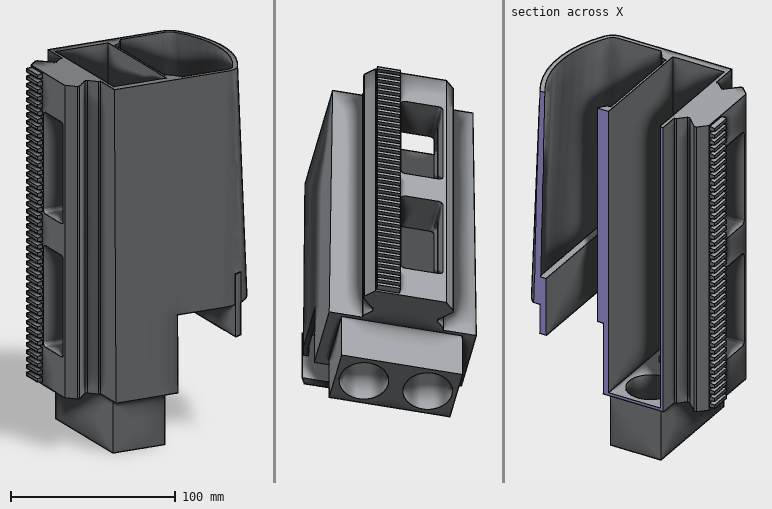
import cadquery as cq
import math

TOTAL_HEIGHT = 235.0
BODY_HEIGHT = 200.2
PLUG_LENGTH = TOTAL_HEIGHT - BODY_HEIGHT
SHROUD_BOTTOM = 49.8

BASE_HALF_WIDTH = 45.8
TOP_HALF_WIDTH = 43.7
BASE_APEX = 108.3
TOP_APEX = 97.7
BASE_CROWN_RADIUS = 58.7
TOP_CROWN_RADIUS = 75.2
CORNER_ARC_ANGLE = math.radians(59)
SHELL_WALL = 3.0

PARTITION_BACK = 40.2
STEP_BACK = 42.5
GUSSET_FOOT_X = 32.7
GUSSET_KNEE = (33.8, 43.5)
GUSSET_TOP = (40.6, 48.2)

FRONT_WALL = 2.3
POCKET_HALF_WIDTH = 38.3
POCKET_BACK = 38.5
POCKET_FLOOR = 2.3
PLUG_HALF_WIDTH = 37.5
PLUG_FRONT = 2.0
PLUG_BACK = 37.8
BORE_DIAMETER = 30.0
BORE_SPACING = 39.7

BAR_FRONT_HALF_WIDTH = 44.6
BAR_BACK_HALF_WIDTH = 42.3
BAR_FRONT = 82.7
BAR_BACK = 87.5
BAR_BOTTOM = 29.4
BAR_TOP = 69.5

RAIL_DEPTH = 22.8
RAIL_HALF_SECTION = [
    (25.1, 0.0),
    (25.1, -1.5),
    (20.2, -6.3),
    (20.2, -8.0),
    (27.7, -15.5),
    (27.7, -17.2),
    (22.0, -RAIL_DEPTH),
]

WINDOW_LEFT = -6.0
WINDOW_RIGHT = 20.0
WINDOW_HEIGHT = 65.0
WINDOW_SPACING = 85.3
WINDOW_CORNER_RADIUS = 2.8

TOOTH_COUNT = 42
TOOTH_DEPTH = 3.5
TOOTH_ROOT_HEIGHT = 3.0
TOOTH_TIP_HEIGHT = 2.0
TOOTH_LEFT = -21.4
TOOTH_LENGTH = 14.3
FIRST_TOOTH_Z = 3.0
LAST_TOOTH_Z = 197.5
TOOTH_PITCH = (LAST_TOOTH_Z - FIRST_TOOTH_Z) / (TOOTH_COUNT - 1)

OVERLAP = 0.5


def block(x_min, x_max, y_min, y_max, z_min, z_max):
    """Box given by its limits along each axis."""
    size = (x_max - x_min, y_max - y_min, z_max - z_min)
    return cq.Workplane("XY").box(*size, centered=False).translate((x_min, y_min, z_min))


def arched_section(workplane, half_width, front, apex, crown_radius):
    """Straight front and sides, closed by a crown arc with tangent corner arcs.

    The corner radius follows from the corner arcs turning through a fixed angle,
    so sections at different heights join into smooth faces.
    """
    turn_cosine = math.cos(CORNER_ARC_ANGLE)
    corner_radius = (half_width - crown_radius * turn_cosine) / (1 - turn_cosine)
    crown_center_y = apex - crown_radius
    corner_x = half_width - corner_radius
    corner_y = crown_center_y + (crown_radius - corner_radius) * math.sin(CORNER_ARC_ANGLE)

    def on_corner(angle):
        return corner_x + corner_radius * math.cos(angle), corner_y + corner_radius * math.sin(angle)

    tangent_x, tangent_y = on_corner(CORNER_ARC_ANGLE)
    middle_x, middle_y = on_corner(CORNER_ARC_ANGLE / 2)
    return (
        workplane.moveTo(-half_width, front)
        .lineTo(half_width, front)
        .lineTo(half_width, corner_y)
        .threePointArc((middle_x, middle_y), (tangent_x, tangent_y))
        .threePointArc((0, apex), (-tangent_x, tangent_y))
        .threePointArc((-middle_x, middle_y), (-half_width, corner_y))
        .close()
    )


def tapered_arch(front, inset):
    """Full-height arched solid, drawn in by the inset at the sides and back."""
    base = arched_section(
        cq.Workplane("XY"),
        BASE_HALF_WIDTH - inset,
        front,
        BASE_APEX - inset,
        BASE_CROWN_RADIUS - inset,
    )
    return arched_section(
        base.workplane(offset=BODY_HEIGHT),
        TOP_HALF_WIDTH - inset,
        front,
        TOP_APEX - inset,
        TOP_CROWN_RADIUS - inset,
    ).loft(ruled=True)


def make_gusset(side):
    """Corner rib where the partition meets one side wall (side is -1 or 1)."""
    section = [
        (GUSSET_FOOT_X, PARTITION_BACK - OVERLAP),
        (GUSSET_FOOT_X, PARTITION_BACK),
        GUSSET_KNEE,
        GUSSET_TOP,
        (TOP_HALF_WIDTH, GUSSET_TOP[1]),
        (TOP_HALF_WIDTH, PARTITION_BACK - OVERLAP),
    ]
    points = [(side * x, y) for x, y in section]
    return cq.Workplane("XY").polyline(points).close().extrude(BODY_HEIGHT)


def make_body():
    """Shell with its rear cavity, stepped away at the back below the shroud."""
    body = tapered_arch(0, 0).cut(tapered_arch(PARTITION_BACK, SHELL_WALL))
    for side in (-1, 1):
        body = body.union(make_gusset(side))
    step = block(-BASE_HALF_WIDTH, BASE_HALF_WIDTH, STEP_BACK, BASE_APEX, 0, SHROUD_BOTTOM)
    return body.cut(step)


def make_bar():
    """Flat bar across the shroud, its slanted ends following the curved shell."""
    section = [
        (-BAR_FRONT_HALF_WIDTH, BAR_FRONT),
        (BAR_FRONT_HALF_WIDTH, BAR_FRONT),
        (BAR_BACK_HALF_WIDTH, BAR_BACK),
        (-BAR_BACK_HALF_WIDTH, BAR_BACK),
    ]
    base = cq.Workplane("XY", origin=(0, 0, BAR_BOTTOM))
    return base.polyline(section).close().extrude(BAR_TOP - BAR_BOTTOM)


def make_rail():
    left_half = [(-x, y) for x, y in reversed(RAIL_HALF_SECTION)]
    return cq.Workplane("XY").polyline(RAIL_HALF_SECTION + left_half).close().extrude(BODY_HEIGHT)


def make_rack():
    """Row of trapezoidal teeth standing on the left part of the rail face."""
    root_y = -RAIL_DEPTH + OVERLAP
    tip_y = -RAIL_DEPTH - TOOTH_DEPTH
    section = [
        (root_y, -TOOTH_ROOT_HEIGHT / 2),
        (-RAIL_DEPTH, -TOOTH_ROOT_HEIGHT / 2),
        (tip_y, -TOOTH_TIP_HEIGHT / 2),
        (tip_y, TOOTH_TIP_HEIGHT / 2),
        (-RAIL_DEPTH, TOOTH_ROOT_HEIGHT / 2),
        (root_y, TOOTH_ROOT_HEIGHT / 2),
    ]
    tooth = cq.Workplane("YZ").polyline(section).close().extrude(TOOTH_LENGTH)
    rack = cq.Workplane("XY")
    for index in range(TOOTH_COUNT):
        rack.add(tooth.translate((TOOTH_LEFT, 0, FIRST_TOOTH_Z + index * TOOTH_PITCH)))
    return rack.combine()


def make_pocket():
    return block(
        -POCKET_HALF_WIDTH, POCKET_HALF_WIDTH, FRONT_WALL, POCKET_BACK, POCKET_FLOOR, BODY_HEIGHT
    )


def make_plug():
    return block(-PLUG_HALF_WIDTH, PLUG_HALF_WIDTH, PLUG_FRONT, PLUG_BACK, -PLUG_LENGTH, OVERLAP)


def make_bores():
    """Two round bores down through the pocket floor and the plug."""
    center_y = (PLUG_FRONT + PLUG_BACK) / 2
    centers = [(-BORE_SPACING / 2, center_y), (BORE_SPACING / 2, center_y)]
    return (
        cq.Workplane("XY", origin=(0, 0, -PLUG_LENGTH))
        .pushPoints(centers)
        .circle(BORE_DIAMETER / 2)
        .extrude(PLUG_LENGTH + POCKET_FLOOR)
    )


def make_windows():
    """Two rounded openings from the rail face into the pocket."""
    depth = RAIL_DEPTH + FRONT_WALL + OVERLAP
    center_x = (WINDOW_LEFT + WINDOW_RIGHT) / 2
    centers = [(0, -WINDOW_SPACING / 2), (0, WINDOW_SPACING / 2)]
    return (
        cq.Workplane("XZ", origin=(center_x, -RAIL_DEPTH, BODY_HEIGHT / 2))
        .pushPoints(centers)
        .rect(WINDOW_RIGHT - WINDOW_LEFT, WINDOW_HEIGHT)
        .extrude(-depth)
        .edges("|Y")
        .fillet(WINDOW_CORNER_RADIUS)
    )


result = (
    make_body()
    .union(make_bar())
    .union(make_rail())
    .cut(make_pocket())
    .union(make_plug())
    .cut(make_bores())
    .cut(make_windows())
    .union(make_rack())
)